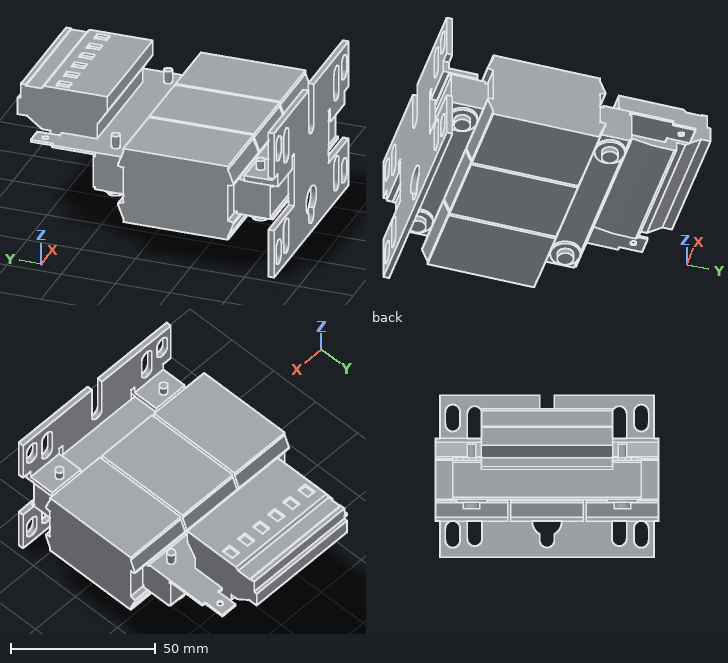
import cadquery as cq


COIL_WIDTH = 25.0
COIL_GAP = 0.95
LIMB_PITCH = COIL_WIDTH + COIL_GAP
LIMB_WIDTH = 13.1
LIMB_POSITIONS = (-LIMB_PITCH, 0, LIMB_PITCH)
CORE_WIDTH = 2 * LIMB_PITCH + LIMB_WIDTH
CORE_FRONT = 3.1
CORE_BACK = 68.3
CORE_MID_Y = (CORE_FRONT + CORE_BACK) / 2
CORE_MID_Z = 26.7
CORE_HALF_HEIGHT = 6.0
COIL_HALF_LENGTH = 19.3
COIL_HALF_HEIGHT = 14.3
FLANGE_REACH = 2.0
FLANGE_SLOPE_START = 13.0
FLANGE_TIP = 7.9
FLANGE_TIP_UNDERSIDE = 7.3
FLANGE_ROOT_UNDERSIDE = 6.8

PLATE_WIDTH = 74.0
PLATE_HEIGHT = 56.0
PLATE_THICKNESS = 2.1
NOTCH_BOTTOM = 18.3
NOTCH_TOP = 38.4
NOTCH_INNER_X = 17.2
TAB_INNER_X = 18.9
TAB_OUTER_X = 33.1
TAB_REACH = 12.4
SLOT_WIDTH = 5.0
OUTER_SLOT_X = 32.5
OUTER_SLOT_LENGTH = 9.2
OUTER_SLOT_OFFSET = 20.1
INNER_SLOT_X = 24.95
INNER_SLOT_LENGTH = 13.1
INNER_SLOT_OFFSET = 17.6
CENTRE_SLOT_BOTTOM = 38.3
KEYHOLE_DIAMETER = 10.1
KEYHOLE_Z = 12.4
KEYHOLE_BOTTOM = 3.4

LAYER_THICKNESS = 0.75
LAYER_HALF_HEIGHT = CORE_HALF_HEIGHT + LAYER_THICKNESS
LAYER_TOP = CORE_MID_Z + LAYER_HALF_HEIGHT
LAYER_BOTTOM = CORE_MID_Z - LAYER_HALF_HEIGHT
FRONT_LAYER_END = 15.4
REAR_LAYER_START = 55.2
REAR_LAYER_END = 67.6

BOLT_OFFSET_Y = 26.6
BOLT_DIAMETER = 3.0
BOLT_TOP = 39.0
HEAD_DIAMETER = 5.7
HEAD_BOTTOM = 16.7
WASHER_DIAMETER = 10.5
WASHER_THICKNESS = 1.1

EARTH_THICKNESS = 0.85
EARTH_FRONT = 58.0
EARTH_BACK = 83.4
LUG_BACK = 91.7
LUG_X = 27.9
LUG_WIDTH = 6.6
LUG_HOLE_DIAMETER = 2.1
LUG_HOLE_Y = 87.5

TERMINAL_WIDTH = 45.2
TERMINAL_TOP = 51.3
WINDOW_COUNT = 6
WINDOW_PITCH = TERMINAL_WIDTH / WINDOW_COUNT
WINDOW_WIDTH = 3.4
WINDOW_FRONT = 81.7
WINDOW_BACK = 86.3
WINDOW_DEPTH = 1.0


def block(x_range, y_range, z_range):
    """Box given by its limits along X, Y and Z."""
    spans = [high - low for low, high in (x_range, y_range, z_range)]
    return cq.Workplane("XY").box(*spans, centered=False).translate((x_range[0], y_range[0], z_range[0]))


def centred_block(width, y_range, z_range, x=0):
    """Box of a given width whose middle lies at x."""
    return block((x - width / 2, x + width / 2), y_range, z_range)


def side_profile(points, width, x=0):
    """Closed outline of (Y, Z) points extruded to a width centred on x."""
    return cq.Workplane("YZ").polyline(points).close().extrude(width / 2, both=True).translate((x, 0, 0))


def cylinder(x, y, diameter, bottom, top):
    return cq.Workplane("XY").circle(diameter / 2).extrude(top - bottom).translate((x, y, bottom))


def make_core():
    z_range = (CORE_MID_Z - CORE_HALF_HEIGHT, CORE_MID_Z + CORE_HALF_HEIGHT)
    core = centred_block(CORE_WIDTH, (CORE_FRONT, CORE_BACK), z_range)
    window_y = (CORE_FRONT + LIMB_WIDTH, CORE_BACK - LIMB_WIDTH)
    for x in (-LIMB_PITCH / 2, LIMB_PITCH / 2):
        core = core.cut(centred_block(LIMB_PITCH - LIMB_WIDTH, window_y, z_range, x))
    for y_range in ((PLATE_THICKNESS, FRONT_LAYER_END), (REAR_LAYER_START, REAR_LAYER_END)):
        for bottom in (LAYER_BOTTOM, LAYER_TOP - LAYER_THICKNESS):
            core = core.union(centred_block(CORE_WIDTH, y_range, (bottom, bottom + LAYER_THICKNESS)))
    return core


def make_coil(x):
    """Winding with sloping flanges above and below the yoke at either end."""
    flange_end = COIL_HALF_LENGTH + FLANGE_REACH
    quarter = [
        (COIL_HALF_LENGTH, FLANGE_ROOT_UNDERSIDE),
        (flange_end, FLANGE_TIP_UNDERSIDE),
        (flange_end, FLANGE_TIP),
        (COIL_HALF_LENGTH, FLANGE_SLOPE_START),
        (COIL_HALF_LENGTH, COIL_HALF_HEIGHT),
    ]
    upper = quarter + [(-y, z) for y, z in reversed(quarter)]
    lower = [(-y, -z) for y, z in upper]
    return side_profile(upper + lower, COIL_WIDTH, x).translate((0, CORE_MID_Y, CORE_MID_Z))


def upright_slot(x, z, length):
    """Cutter for a vertical round-ended slot through the mounting plate."""
    slot = cq.Workplane("XZ").slot2D(length, SLOT_WIDTH, 90).extrude(-PLATE_THICKNESS)
    return slot.translate((x, 0, z))


def make_mounting_plate():
    thickness = (0, PLATE_THICKNESS)
    plate = centred_block(PLATE_WIDTH, thickness, (0, PLATE_HEIGHT))
    for side in (-1, 1):
        notch_x = sorted((side * NOTCH_INNER_X, side * PLATE_WIDTH / 2))
        tab_x = sorted((side * TAB_INNER_X, side * TAB_OUTER_X))
        plate = plate.cut(block(notch_x, thickness, (NOTCH_BOTTOM, NOTCH_TOP)))
        plate = plate.union(block(tab_x, thickness, (LAYER_TOP, NOTCH_TOP)))
        plate = plate.union(block(tab_x, (0, TAB_REACH), (LAYER_TOP, LAYER_TOP + PLATE_THICKNESS)))
        for level in (-1, 1):
            outer_z = PLATE_HEIGHT / 2 + level * OUTER_SLOT_OFFSET
            inner_z = PLATE_HEIGHT / 2 + level * INNER_SLOT_OFFSET
            plate = plate.cut(upright_slot(side * OUTER_SLOT_X, outer_z, OUTER_SLOT_LENGTH))
            plate = plate.cut(upright_slot(side * INNER_SLOT_X, inner_z, INNER_SLOT_LENGTH))

    slot_length = 2 * (PLATE_HEIGHT - CENTRE_SLOT_BOTTOM)
    plate = plate.cut(upright_slot(0, PLATE_HEIGHT, slot_length))

    keyhole = cq.Workplane("XZ").circle(KEYHOLE_DIAMETER / 2).extrude(-PLATE_THICKNESS)
    plate = plate.cut(keyhole.translate((0, 0, KEYHOLE_Z)))
    neck_length = KEYHOLE_Z - KEYHOLE_BOTTOM
    return plate.cut(upright_slot(0, KEYHOLE_BOTTOM + neck_length / 2, neck_length))


def make_bolt(x, y):
    washer_bottom = LAYER_BOTTOM - WASHER_THICKNESS
    shank = cylinder(x, y, BOLT_DIAMETER, HEAD_BOTTOM, BOLT_TOP)
    head = cylinder(x, y, HEAD_DIAMETER, HEAD_BOTTOM, washer_bottom)
    washer = cylinder(x, y, WASHER_DIAMETER, washer_bottom, LAYER_BOTTOM)
    return shank.union(head).union(washer)


def make_earth_plate():
    z_range = (LAYER_TOP, LAYER_TOP + EARTH_THICKNESS)
    plate = centred_block(CORE_WIDTH, (EARTH_FRONT, EARTH_BACK), z_range)
    for x in (-LUG_X, LUG_X):
        plate = plate.union(centred_block(LUG_WIDTH, (EARTH_BACK, LUG_BACK), z_range, x))
        plate = plate.cut(cylinder(x, LUG_HOLE_Y, LUG_HOLE_DIAMETER, *z_range))
    return plate


def make_terminal_block():
    outline = [
        (66.7, TERMINAL_TOP),
        (90.0, TERMINAL_TOP),
        (91.0, 50.2),
        (96.7, 50.2),
        (96.7, 50.6),
        (98.6, 50.6),
        (98.6, 45.2),
        (99.8, 44.9),
        (99.8, 38.6),
        (96.3, 38.6),
        (90.7, 34.3),
        (87.6, 34.3),
        (87.6, 31.2),
        (86.6, 30.3),
        (78.4, 30.5),
        (70.5, 31.9),
        (70.5, 39.8),
        (66.7, 45.7),
    ]
    terminal = side_profile(outline, TERMINAL_WIDTH)
    window_z = (TERMINAL_TOP - WINDOW_DEPTH, TERMINAL_TOP)
    for index in range(WINDOW_COUNT):
        x = (index - (WINDOW_COUNT - 1) / 2) * WINDOW_PITCH
        terminal = terminal.cut(centred_block(WINDOW_WIDTH, (WINDOW_FRONT, WINDOW_BACK), window_z, x))
    return terminal


result = make_core().union(make_mounting_plate()).union(make_earth_plate()).union(make_terminal_block())
for limb_x in LIMB_POSITIONS:
    result = result.union(make_coil(limb_x))
for bolt_x in (-LIMB_PITCH, LIMB_PITCH):
    for bolt_y in (CORE_MID_Y - BOLT_OFFSET_Y, CORE_MID_Y + BOLT_OFFSET_Y):
        result = result.union(make_bolt(bolt_x, bolt_y))